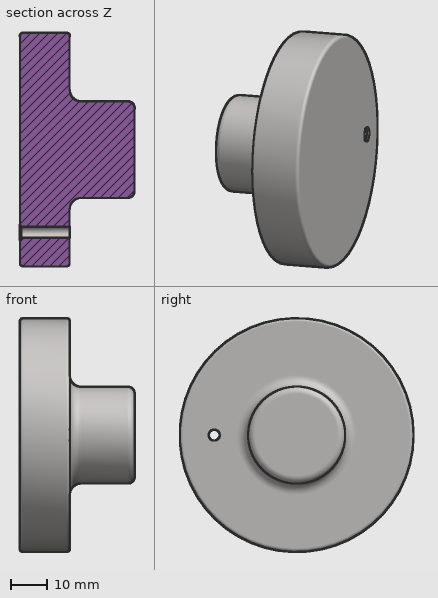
import cadquery as cq

disc_diameter = 65.0
disc_thickness = 14.0
disc_edge_radius = 1.0

overall_length = 32.0
hub_diameter = 26.95
hub_end_radius = 2.0
hub_root_radius = 3.0

hole_diameter = 3.0
hole_offset = 22.9
hole_chamfer = 0.5


def make_disc():
    disc = cq.Workplane("YZ").circle(disc_diameter / 2).extrude(disc_thickness)
    return disc.edges("%CIRCLE").fillet(disc_edge_radius)


def make_hub():
    hub = cq.Workplane("YZ").circle(hub_diameter / 2).extrude(overall_length)
    return hub.faces(">X").edges().fillet(hub_end_radius)


def make_root_fillet():
    """Concave ring blending the disc's back face into the hub."""
    hub_radius = hub_diameter / 2
    root_end = disc_thickness + hub_root_radius
    return (
        cq.Workplane("XY")
        .moveTo(disc_thickness, 0)
        .lineTo(disc_thickness, hub_radius + hub_root_radius)
        .radiusArc((root_end, hub_radius), -hub_root_radius)
        .lineTo(root_end, 0)
        .close()
        .revolve(360, (0, 0, 0), (1, 0, 0))
    )


def make_hole():
    hole_plane = cq.Workplane("YZ").center(-hole_offset, 0)
    drill = hole_plane.circle(hole_diameter / 2).extrude(disc_thickness)
    mouth = (
        hole_plane.circle(hole_diameter / 2 + hole_chamfer)
        .extrude(hole_chamfer, taper=45)
    )
    return drill.union(mouth)


result = make_disc().union(make_hub()).union(make_root_fillet()).cut(make_hole())